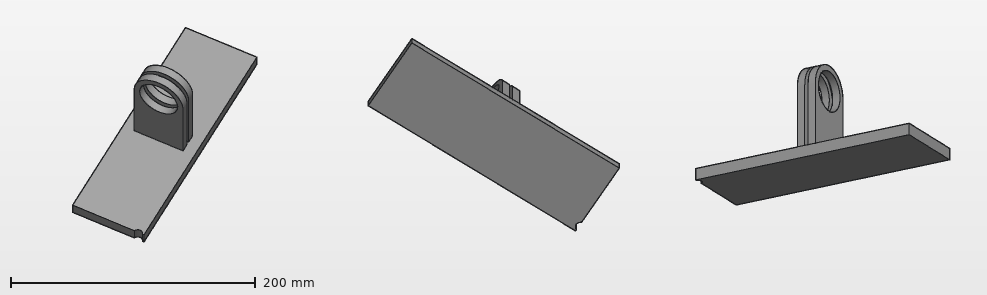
import cadquery as cq

plate_width = 65.6
plate_length = 202.0
plate_thickness = 10.0

total_height = 90.0
lug_width = 44.8
lug_radius = lug_width / 2
lug_thickness = 7.0
lug_gap = 3.0
lug_pair_center_y = -2.5
bore_diameter = 34.7
bore_center_z = total_height - lug_radius

notch_radius = 4.0
notch_depth = 2.6
notch_from_right_side = 5.0
notch_x = plate_width / 2 - notch_from_right_side
notch_y = -plate_length / 2 - notch_radius + notch_depth


def make_plate():
    plate = cq.Workplane("XY").box(
        plate_width, plate_length, plate_thickness, centered=(True, True, False)
    )
    notch = cq.Workplane("XY").center(notch_x, notch_y).circle(notch_radius).extrude(plate_thickness)
    return plate.cut(notch)


def make_lug(center_y):
    """Upright lug standing on the plate, with a full-round top and a concentric bore."""
    back_face = cq.Workplane("XZ", origin=(0, center_y + lug_thickness / 2, 0))
    lug = (
        back_face
        .moveTo(-lug_radius, plate_thickness)
        .lineTo(-lug_radius, bore_center_z)
        .threePointArc((0, total_height), (lug_radius, bore_center_z))
        .lineTo(lug_radius, plate_thickness)
        .close()
        .extrude(lug_thickness)
    )
    bore = back_face.center(0, bore_center_z).circle(bore_diameter / 2).extrude(lug_thickness)
    return lug.cut(bore)


lug_offset = (lug_thickness + lug_gap) / 2
result = make_plate()
for side in (-1, 1):
    result = result.union(make_lug(lug_pair_center_y + side * lug_offset))